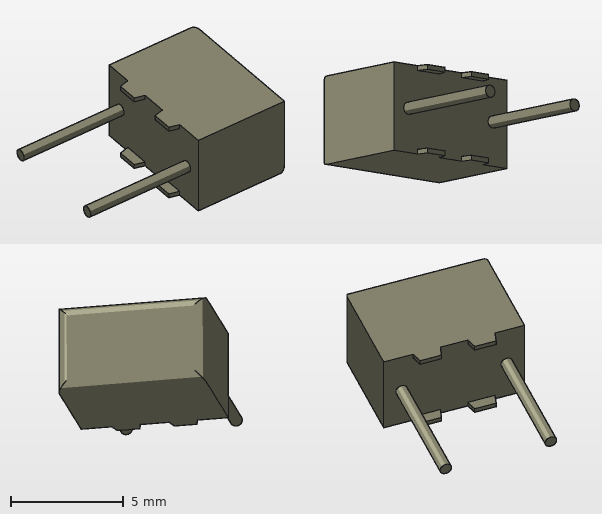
import cadquery as cq

case_width = 6.7
case_height = 5.0
case_thickness = 4.0
crown_radius = 0.5

foot_height = 0.5
foot_base_width = 1.3
foot_tip_width = 1.03
foot_thickness = 0.22
foot_spacing = 2.6

lead_diameter = 0.55
lead_length = 5.5
lead_pitch = 5.0


def make_foot(center_x, bottom_z):
    """Tapered foot, narrowing from the seating face down to its tip."""
    half_base = foot_base_width / 2
    half_tip = foot_tip_width / 2
    return (
        cq.Workplane("XY", origin=(center_x, 0, bottom_z))
        .moveTo(-half_base, 0)
        .lineTo(-half_tip, -foot_height)
        .lineTo(half_tip, -foot_height)
        .lineTo(half_base, 0)
        .close()
        .extrude(foot_thickness)
    )


def make_case():
    """Box with a rounded crown at +Y and four feet flush with its Z faces."""
    case = (
        cq.Workplane("XY")
        .box(case_width, case_height, case_thickness, centered=(True, False, True))
        .faces(">Y")
        .edges()
        .fillet(crown_radius)
    )
    lower_foot_z = -case_thickness / 2
    upper_foot_z = case_thickness / 2 - foot_thickness
    for center_x in (-foot_spacing / 2, foot_spacing / 2):
        for bottom_z in (lower_foot_z, upper_foot_z):
            case = case.union(make_foot(center_x, bottom_z))
    return case


def make_lead(center_x):
    """Straight round lead that starts on the seating face and runs toward -Y."""
    return (
        cq.Workplane("XZ", origin=(center_x, 0, 0))
        .circle(lead_diameter / 2)
        .extrude(lead_length)
    )


case = make_case()
leads = [make_lead(center_x) for center_x in (-lead_pitch / 2, lead_pitch / 2)]

result = cq.Compound.makeCompound([case.val(), *[lead.val() for lead in leads]])